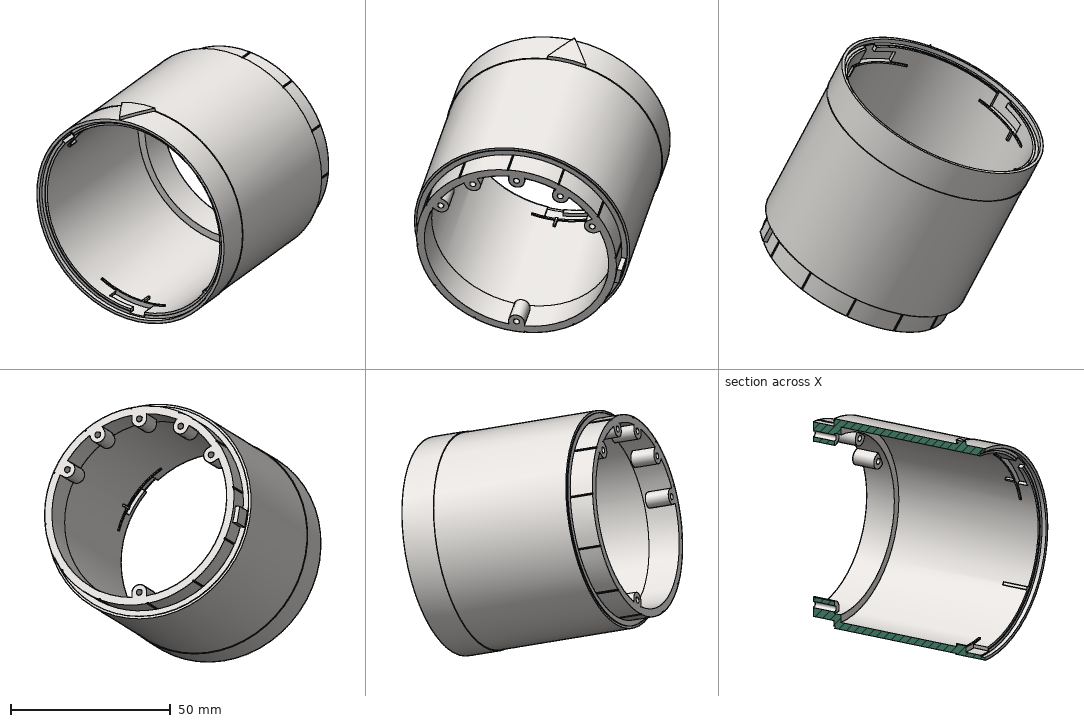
import cadquery as cq
import math


TOTAL_LENGTH = 65.0
COLLAR_DIAMETER = 69.5
COLLAR_LENGTH = 11.0
BODY_DIAMETER = 69.0
BORE_DIAMETER = 64.0
SPIGOT_LENGTH = 8.0
SPIGOT_DIAMETER = 64.0
SPIGOT_BORE_DIAMETER = 59.0
FLOOR_THICKNESS = 2.5
LEDGE_DIAMETER = 67.5
LEDGE_HEIGHT = 0.3
SPIGOT_START = TOTAL_LENGTH - SPIGOT_LENGTH
LEDGE_END = SPIGOT_START + LEDGE_HEIGHT
FLOOR_START = SPIGOT_START - FLOOR_THICKNESS

MOUTH_DIAMETER = 67.5
MOUTH_DEPTH = 1.5
SEAT_DIAMETER = 65.5
SEAT_DEPTH = 1.8

ARROW_RADIUS = 35.75
ARROW_ANGLE = 96.6
ARROW_WIDTH = 12.4

LUG_ANGLES = (30, 60, 90, 120, 150, 270)
LUG_CIRCLE_RADIUS = 28.0
LUG_DIAMETER = 5.0
LUG_HOLE_DIAMETER = 1.9
WALL_OVERLAP = 0.5

BAYONET_ANGLES = (45, 135, 270)
POCKET_RADIUS = 33.25
POCKET_START = 3.5
POCKET_END = 7.2
ENTRY_FROM = -2.0
ENTRY_TO = 7.3
POCKET_FROM = -18.0
STOP_FROM = -29.0
STOP_TO = 14.5
STOP_THICKNESS = 0.6
STOP_RADIUS = 31.6

DETENT_ANGLES = (30, 150, 270)
DETENT_RADIUS = 31.2
DETENT_WIDTH = 0.7
DETENT_LENGTH = 3.7
END_STOP_ANGLE = -35
END_STOP_RADIUS = 31.5
END_STOP_WIDTH = 1.0
END_STOP_END = 10.8

GROOVE_COUNT = 12
GROOVE_FIRST_ANGLE = 25
GROOVE_WIDTH = 0.4
GROOVE_DEPTH = 0.3
TAB_ANGLE = 190
TAB_RADIUS = 33.4
TAB_WIDTH = 5.3
TAB_LENGTH = 6.5


def plane_at(y):
    """Sketch plane across the tube; a negative extrusion runs towards +Y."""
    return cq.Workplane("XZ", origin=(0, y, 0))


def disc(diameter, start, end):
    return plane_at(start).circle(diameter / 2).extrude(start - end)


def turned(shape, angle):
    """Turn a shape built on the +X side round the tube axis to the given angle."""
    return shape.rotate((0, 0, 0), (0, 1, 0), -angle)


def polar(radius, angle):
    return radius * math.cos(math.radians(angle)), radius * math.sin(math.radians(angle))


def ring_sector(inner_radius, outer_radius, angle_from, angle_to, start, end):
    middle = (angle_from + angle_to) / 2
    return (
        plane_at(start)
        .moveTo(*polar(inner_radius, angle_from))
        .lineTo(*polar(outer_radius, angle_from))
        .threePointArc(polar(outer_radius, middle), polar(outer_radius, angle_to))
        .lineTo(*polar(inner_radius, angle_to))
        .threePointArc(polar(inner_radius, middle), polar(inner_radius, angle_from))
        .close()
        .extrude(start - end)
    )


def radial_bar(inner_radius, outer_radius, width, start, end, angle):
    bar = plane_at(start).center((inner_radius + outer_radius) / 2, 0)
    bar = bar.rect(outer_radius - inner_radius, width).extrude(start - end)
    return turned(bar, angle)


def make_tube():
    tube = disc(COLLAR_DIAMETER, 0, COLLAR_LENGTH)
    tube = tube.union(disc(BODY_DIAMETER, COLLAR_LENGTH, SPIGOT_START))
    tube = tube.union(disc(LEDGE_DIAMETER, SPIGOT_START, LEDGE_END))
    tube = tube.union(disc(SPIGOT_DIAMETER, SPIGOT_START, TOTAL_LENGTH))
    tube = tube.cut(disc(BORE_DIAMETER, 0, FLOOR_START))
    tube = tube.cut(disc(SPIGOT_BORE_DIAMETER, FLOOR_START, TOTAL_LENGTH))
    tube = tube.cut(disc(SEAT_DIAMETER, 0, SEAT_DEPTH))
    return tube.cut(disc(MOUTH_DIAMETER, 0, MOUTH_DEPTH))


def make_arrow():
    shell = disc(2 * ARROW_RADIUS, 0, COLLAR_LENGTH).cut(disc(BODY_DIAMETER, 0, COLLAR_LENGTH))
    triangle = (
        cq.Workplane("XY")
        .polyline([(0, 0), (ARROW_WIDTH / 2, COLLAR_LENGTH), (-ARROW_WIDTH / 2, COLLAR_LENGTH)])
        .close()
        .extrude(ARROW_RADIUS)
    )
    return shell.intersect(turned(triangle, ARROW_ANGLE - 90))


def add_lugs(part):
    wall_radius = SPIGOT_BORE_DIAMETER / 2 + WALL_OVERLAP
    for angle in LUG_ANGLES:
        centre = polar(LUG_CIRCLE_RADIUS, angle)
        lug = plane_at(SPIGOT_START).center(*centre).circle(LUG_DIAMETER / 2).extrude(-SPIGOT_LENGTH)
        neck = radial_bar(LUG_CIRCLE_RADIUS, wall_radius, LUG_DIAMETER, SPIGOT_START, TOTAL_LENGTH, angle)
        hole = plane_at(SPIGOT_START).center(*centre).circle(LUG_HOLE_DIAMETER / 2).extrude(-SPIGOT_LENGTH)
        part = part.union(lug).union(neck).cut(hole)
    return part


def add_bayonet(part):
    clear_radius = BORE_DIAMETER / 2 - WALL_OVERLAP
    root_radius = BORE_DIAMETER / 2 + WALL_OVERLAP
    stop_end = POCKET_END + STOP_THICKNESS
    for angle in BAYONET_ANGLES:
        entry = ring_sector(clear_radius, POCKET_RADIUS, ENTRY_FROM, ENTRY_TO, MOUTH_DEPTH, POCKET_END)
        pocket = ring_sector(clear_radius, POCKET_RADIUS, POCKET_FROM, ENTRY_TO, POCKET_START, POCKET_END)
        stop = ring_sector(STOP_RADIUS, root_radius, STOP_FROM, STOP_TO, POCKET_END, stop_end)
        part = part.cut(turned(entry, angle)).cut(turned(pocket, angle)).union(turned(stop, angle))
    for angle in DETENT_ANGLES:
        detent_end = POCKET_END + DETENT_LENGTH
        part = part.union(
            radial_bar(DETENT_RADIUS, root_radius, DETENT_WIDTH, POCKET_END, detent_end, angle)
        )
    return part.union(
        radial_bar(END_STOP_RADIUS, root_radius, END_STOP_WIDTH, SEAT_DEPTH, END_STOP_END, END_STOP_ANGLE)
    )


def finish_spigot(part):
    spigot_radius = SPIGOT_DIAMETER / 2
    for index in range(GROOVE_COUNT):
        angle = GROOVE_FIRST_ANGLE + index * 360 / GROOVE_COUNT
        groove = radial_bar(
            spigot_radius - GROOVE_DEPTH, spigot_radius + GROOVE_DEPTH,
            GROOVE_WIDTH, LEDGE_END, TOTAL_LENGTH, angle,
        )
        part = part.cut(groove)
    tab_end = SPIGOT_START + TAB_LENGTH
    tab = radial_bar(
        spigot_radius - WALL_OVERLAP, TAB_RADIUS, TAB_WIDTH, SPIGOT_START, tab_end, TAB_ANGLE
    )
    return part.union(tab)


result = make_tube().union(make_arrow())
result = add_lugs(result)
result = add_bayonet(result)
result = finish_spigot(result)